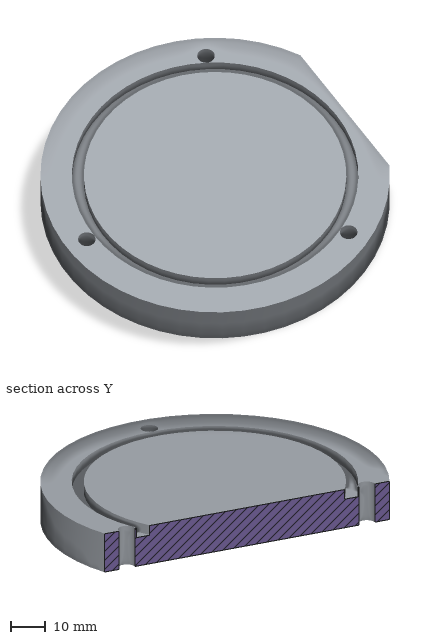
import cadquery as cq

disc_diameter = 99.9
thickness = 12.0
flat_distance = 44.0

groove_outer_diameter = 81.9
island_diameter = 75.0
groove_depth = 3.0

hole_diameter = 5.0
hole_circle_radius = (groove_outer_diameter + hole_diameter) / 2
upper_hole_angle = 29.0
hole_angles = [upper_hole_angle, 180.0 - upper_hole_angle, 270.0]


def flatted_disc():
    """Round plate, cut straight on its +Y side."""
    radius = disc_diameter / 2
    disc = cq.Workplane("XY").circle(radius).extrude(thickness)
    keep_length = radius + flat_distance
    keep = (
        cq.Workplane("XY")
        .center(0, flat_distance - keep_length / 2)
        .rect(disc_diameter, keep_length)
        .extrude(thickness)
    )
    return disc.intersect(keep)


def ring_groove():
    """Ring-shaped volume removed from the top face."""
    return (
        cq.Workplane("XY")
        .workplane(offset=thickness - groove_depth)
        .circle(groove_outer_diameter / 2)
        .circle(island_diameter / 2)
        .extrude(groove_depth)
    )


def through_hole(angle):
    """Vertical hole at the given angle on the hole circle."""
    return (
        cq.Workplane("XY")
        .transformed(rotate=(0, 0, angle))
        .center(hole_circle_radius, 0)
        .circle(hole_diameter / 2)
        .extrude(thickness)
    )


result = flatted_disc().cut(ring_groove())
for hole_angle in hole_angles:
    result = result.cut(through_hole(hole_angle))